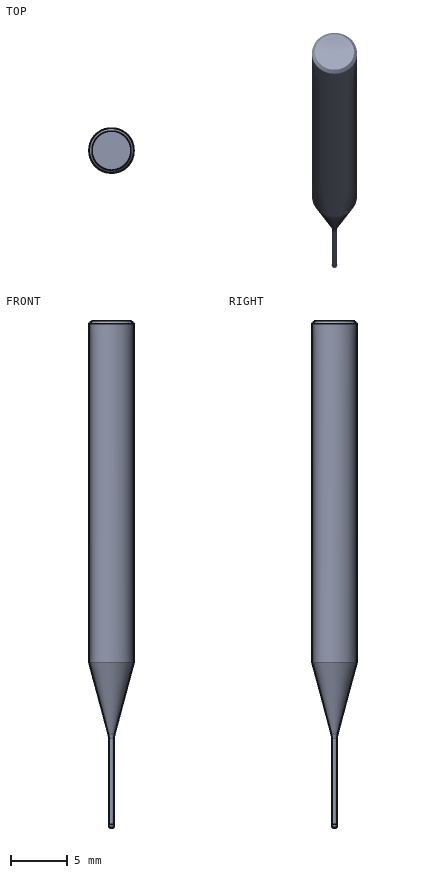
import cadquery as cq
import math

total_length = 45.0
shank_radius = total_length * 2 / 45
end_chamfer = 0.25
taper_top = 14.7
taper_bottom = 8.35
taper_end_radius = 0.292
neck_top = 8.0
neck_radius = 0.22
ball_radius = 0.248
cutter_length = 0.35


def make_holder():
    """Chamfered shank, taper and slender neck, revolved as one solid."""
    return (
        cq.Workplane("XZ")
        .moveTo(0, cutter_length)
        .lineTo(neck_radius, cutter_length)
        .lineTo(neck_radius, neck_top)
        .lineTo(taper_end_radius, taper_bottom)
        .lineTo(shank_radius, taper_top)
        .lineTo(shank_radius, total_length - end_chamfer)
        .lineTo(shank_radius - end_chamfer, total_length)
        .lineTo(0, total_length)
        .close()
        .revolve(360, (0, 0, 0), (0, 1, 0))
    )


def make_cutter():
    """Short cylindrical cutting head with a hemispherical end."""
    arc_offset = ball_radius * math.cos(math.radians(45))
    return (
        cq.Workplane("XZ")
        .threePointArc((arc_offset, ball_radius - arc_offset), (ball_radius, ball_radius))
        .lineTo(ball_radius, cutter_length)
        .lineTo(0, cutter_length)
        .close()
        .revolve(360, (0, 0, 0), (0, 1, 0))
    )


holder = make_holder()
cutter = make_cutter()

result = cq.Compound.makeCompound([holder.val(), cutter.val()])